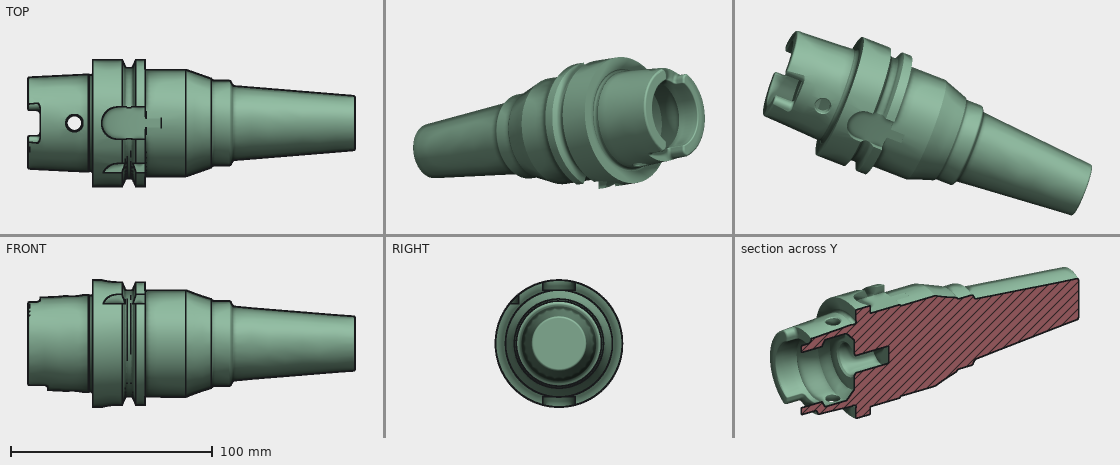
import cadquery as cq
import math


shank_length = 32.0
gauge_radius = 24.0
gauge_distance = 6.3
taper_slope = 0.05
end_round = 1.0
hole_radius = 3.75
hole_x = -9.0
hole_chamfer = 0.5

relief_length = 2.2
relief_radius = 23.9
relief_ramp = 0.6
relief_round = 1.1
recess_depth = 0.2
recess_radius = 25.5

bore_radius = 16.9
bore_round = 0.6
bore_length = 12.4
cavity_radius = 20.0
shoulder_angle = 60.0
cavity_floor_x = -1.0
cavity_floor_radius = 15.6
seat_radius = 8.4
seat_chamfer = 0.9
seat_depth = 20.0

flange_radius = 31.5
flange_length = 26.0
groove_center_x = 18.05
groove_half_floor = 0.95
groove_floor_radius = 27.5
groove_angle = 66.0
groove_round = 1.1

body_radius = 26.5
body_end_x = 46.2
body_root_round = 0.5
cone_end_x = 58.7
cone_end_radius = 22.1
collar_radius = 21.1
collar_step_angle = 45.0
collar_root_round = 0.85
collar_end_x = 67.5
collar_angle = 60.0
collar_round = 1.1
neck_radius = 18.4
nose_end_x = 130.0
nose_end_radius = 13.5
nose_round = 1.0

drive_half_width = 6.25
drive_round = 3.0
drive_flat_z = 20.7
drive_floor_round = 1.5
drive_depths = {1: 6.0, -1: 9.8}

cutter_radius = 8.0
cutter_center_x = 12.5
keyway_floor_z = 26.4
keyway_end_x = 34.0
notch_wall_y = -20.0
notch_floor_z = 19.8

sides = (1, -1)
clearance = 5.0
select_margin = 0.5


def taper_radius(x):
    """Radius of the shank taper at position x."""
    return gauge_radius + taper_slope * (x + gauge_distance)


def add_groove(profile):
    """Continue the outline along the flange through the gripper groove."""
    angle = math.radians(groove_angle)
    arc_width = groove_round * math.sin(angle)
    arc_top = groove_floor_radius + groove_round * (1 - math.cos(angle))
    arc_half = groove_half_floor + arc_width
    mouth_half = arc_half + (flange_radius - arc_top) / math.tan(angle)
    return (
        profile
        .lineTo(groove_center_x - mouth_half, flange_radius)
        .lineTo(groove_center_x - arc_half, arc_top)
        .tangentArcPoint((groove_center_x - groove_half_floor, groove_floor_radius), relative=False)
        .lineTo(groove_center_x + groove_half_floor, groove_floor_radius)
        .tangentArcPoint((groove_center_x + arc_half, arc_top), relative=False)
        .lineTo(groove_center_x + mouth_half, flange_radius)
    )


def add_collar_step(profile):
    """Continue the outline from the cone down a rounded step to the collar."""
    angle = math.radians(collar_step_angle)
    arc_drop = collar_root_round * (1 - math.cos(angle))
    arc_width = collar_root_round * math.sin(angle)
    flank_drop = cone_end_radius - collar_radius - arc_drop
    flank_end_x = cone_end_x + flank_drop / math.tan(angle)
    return (
        profile
        .lineTo(flank_end_x, collar_radius + arc_drop)
        .tangentArcPoint((flank_end_x + arc_width, collar_radius), relative=False)
    )


def add_collar_shoulder(profile):
    """Continue the outline over the collar and down its rounded shoulder to the neck."""
    angle = math.radians(collar_angle)
    arc_width = collar_round * math.sin(angle)
    arc_drop = collar_round * (1 - math.cos(angle))
    flank_drop = collar_radius - neck_radius - 2 * arc_drop
    flank_start_x = collar_end_x + arc_width
    flank_end_x = flank_start_x + flank_drop / math.tan(angle)
    return (
        profile
        .lineTo(collar_end_x, collar_radius)
        .tangentArcPoint((flank_start_x, collar_radius - arc_drop), relative=False)
        .lineTo(flank_end_x, neck_radius + arc_drop)
        .tangentArcPoint((flank_end_x + arc_width, neck_radius), relative=False)
    )


def make_body():
    """Solid of revolution for the whole outside of the holder."""
    profile = (
        cq.Workplane("XY")
        .moveTo(-shank_length, 0)
        .lineTo(-shank_length, taper_radius(-shank_length))
        .lineTo(-relief_length, taper_radius(-relief_length))
        .lineTo(relief_ramp - relief_length, relief_radius)
        .lineTo(recess_depth - relief_round, relief_radius)
        .tangentArcPoint((recess_depth, relief_radius + relief_round), relative=False)
        .lineTo(0, recess_radius)
        .lineTo(0, flange_radius)
    )
    profile = (
        add_groove(profile)
        .lineTo(flange_length, flange_radius)
        .lineTo(flange_length, body_radius + body_root_round)
        .tangentArcPoint((flange_length + body_root_round, body_radius), relative=False)
        .lineTo(body_end_x, body_radius)
        .lineTo(cone_end_x, cone_end_radius)
    )
    profile = (
        add_collar_shoulder(add_collar_step(profile))
        .lineTo(nose_end_x, nose_end_radius)
        .lineTo(nose_end_x, 0)
        .close()
    )
    body = profile.revolve(360, (0, 0, 0), (1, 0, 0))
    return body.faces(">X").edges().fillet(nose_round)


def make_bore():
    """Clamping bore, its wider inner cavity and the coolant tube seat."""
    shoulder_x = bore_length - shank_length
    cavity_x = shoulder_x + (cavity_radius - bore_radius) / math.tan(math.radians(shoulder_angle))
    cone_x = cavity_floor_x - (cavity_radius - cavity_floor_radius)
    return (
        cq.Workplane("XY")
        .moveTo(-shank_length - clearance, 0)
        .lineTo(-shank_length - clearance, bore_radius)
        .lineTo(shoulder_x, bore_radius)
        .lineTo(cavity_x, cavity_radius)
        .lineTo(cone_x, cavity_radius)
        .lineTo(cavity_floor_x, cavity_floor_radius)
        .lineTo(cavity_floor_x, seat_radius + seat_chamfer)
        .lineTo(cavity_floor_x + seat_chamfer, seat_radius)
        .lineTo(cavity_floor_x + seat_depth, seat_radius)
        .lineTo(cavity_floor_x + seat_depth, 0)
        .close()
        .revolve(360, (0, 0, 0), (1, 0, 0))
    )


def make_drive_slot(side):
    """Cutter for one drive slot, with flanks that flare outwards and a rounded floor edge."""
    flank_top_z = drive_flat_z - drive_round
    level_y = drive_half_width + drive_round
    outer_y = level_y + clearance
    top_z = gauge_radius + clearance
    arc_y = level_y - drive_round * math.sqrt(0.5)
    arc_z = flank_top_z + drive_round * math.sqrt(0.5)
    slot = (
        cq.Workplane("YZ", origin=(-shank_length - clearance, 0, 0))
        .moveTo(-drive_half_width, 0)
        .lineTo(drive_half_width, 0)
        .lineTo(drive_half_width, flank_top_z)
        .threePointArc((arc_y, arc_z), (level_y, drive_flat_z))
        .lineTo(outer_y, drive_flat_z)
        .lineTo(outer_y, top_z)
        .lineTo(-outer_y, top_z)
        .lineTo(-outer_y, drive_flat_z)
        .lineTo(-level_y, drive_flat_z)
        .threePointArc((-arc_y, arc_z), (-drive_half_width, flank_top_z))
        .close()
        .extrude(clearance + drive_depths[side])
    )
    flank_zone = cq.selectors.BoxSelector(
        (-shank_length, -level_y - select_margin, select_margin),
        (0, level_y + select_margin, drive_flat_z + select_margin),
    )
    slot = slot.faces(">X").edges(flank_zone).fillet(drive_floor_round)
    if side < 0:
        slot = slot.mirror("XY")
    return slot


def round_bore_mouth(body):
    """Round the bore edge around its mouth and along both drive slots."""
    shoulder_x = bore_length - shank_length
    near_axis = bore_radius / 2
    wall_zone = cq.selectors.BoxSelector(
        (-shank_length, -near_axis, -near_axis),
        (shoulder_x, near_axis, near_axis),
    )
    inside = bore_radius - select_margin
    mouth_zone = cq.selectors.BoxSelector(
        (-shank_length - select_margin, -inside, -bore_radius),
        (shoulder_x - select_margin, inside, bore_radius),
    )
    bore_wall = body.faces(wall_zone).faces("%CYLINDER")
    return bore_wall.edges(mouth_zone).fillet(bore_round)


def cut_access_hole(body):
    """Drill the radial hole through both shank walls and chamfer its outer rims."""
    rim_z = taper_radius(hole_x)
    drill = cq.Workplane("XY", origin=(hole_x, 0, -rim_z - clearance)).circle(hole_radius)
    body = body.cut(drill.extrude(2 * (rim_z + clearance)))
    for side in sides:
        rim_zone = cq.selectors.BoxSelector(
            (hole_x - hole_radius, -hole_radius, side * (rim_z - select_margin)),
            (hole_x + hole_radius, hole_radius, side * (rim_z + select_margin)),
        )
        body = body.edges(rim_zone).chamfer(hole_chamfer)
    return body


def make_round_ended_cut(center_y, floor_z, end_x):
    """Cutter sweep along X with a round end, reaching up from floor_z through the flange rim."""
    near_y = center_y - cutter_radius
    far_y = center_y + cutter_radius
    return (
        cq.Workplane("XY", origin=(0, 0, floor_z))
        .moveTo(cutter_center_x, far_y)
        .lineTo(end_x, far_y)
        .lineTo(end_x, near_y)
        .lineTo(cutter_center_x, near_y)
        .threePointArc((cutter_center_x - cutter_radius, center_y), (cutter_center_x, far_y))
        .close()
        .extrude(flange_radius)
    )


def make_keyway(side):
    """Round-ended keyway in the flange, running out as a narrow flat on the body."""
    keyway = make_round_ended_cut(0, keyway_floor_z, keyway_end_x)
    if side < 0:
        keyway = keyway.mirror("XY")
    return keyway


def make_notch():
    """Round-ended orientation notch on the -Y, +Z corner of the flange."""
    return make_round_ended_cut(notch_wall_y - cutter_radius, notch_floor_z, flange_length)


holder = make_body()
for side in sides:
    holder = holder.cut(make_drive_slot(side))
holder = holder.faces("<X").edges().fillet(end_round)
holder = round_bore_mouth(holder.cut(make_bore()))
holder = cut_access_hole(holder)
for side in sides:
    holder = holder.cut(make_keyway(side))
holder = holder.cut(make_notch())

result = holder